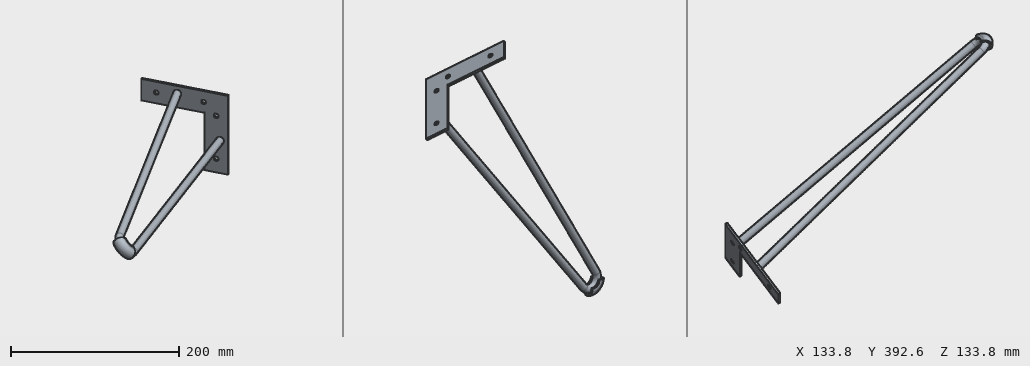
import cadquery as cq
import math

plate_length = 110.0
plate_width = 30.0
plate_thickness = 3.0
hole_diameter = 6.0
hole_near = 31.0
hole_spacing = 60.0

rod_diameter = 10.0
weld_far = 64.25
weld_near = 10.0
bend_radius = 12.25
bend_center_offset = 8.81
overall_depth = 392.64

foot_thickness = 15.5
foot_outer_radius = 21.25
foot_inner_radius = 10.0
foot_half_angle = 45.0

weld_middle = -(weld_far + weld_near) / 2
half_spread = (weld_far - weld_near) / math.sqrt(2)
foot_round = foot_thickness / 2
foot_round_center = foot_outer_radius - foot_round

rise = (bend_center_offset - weld_middle) * math.sqrt(2)
round_center_depth = overall_depth - plate_thickness - foot_round
lean = math.atan2(rise, round_center_depth - foot_round_center)
run = round_center_depth - foot_round_center * math.cos(lean)
center_distance = math.hypot(rise, run)

across = cq.Vector(1, 0, -1).normalized()
along = cq.Vector(rise / math.sqrt(2), -run, rise / math.sqrt(2)).normalized()
hairpin_plane = cq.Plane(
    origin=(weld_middle, -plate_thickness, weld_middle),
    xDir=across,
    normal=across.cross(along),
)


def make_plate():
    plate = (
        cq.Workplane("XZ")
        .polyline([
            (0, 0),
            (-plate_length, 0),
            (-plate_length, -plate_width),
            (-plate_width, -plate_width),
            (-plate_width, -plate_length),
            (0, -plate_length),
        ])
        .close()
        .extrude(plate_thickness)
    )
    distances = [hole_near, hole_near + hole_spacing]
    middle = plate_width / 2
    points = [(-d, -middle) for d in distances] + [(-middle, -d) for d in distances]
    holes = cq.Workplane("XZ").pushPoints(points).circle(hole_diameter / 2).extrude(plate_thickness)
    return plate.cut(holes)


def bend_point(angle):
    """Point on the bend, `angle` radians from its tip."""
    return (bend_radius * math.sin(angle), center_distance + bend_radius * math.cos(angle))


def make_rod():
    weld_distance = math.hypot(half_spread, center_distance)
    weld_angle = math.pi - math.atan2(half_spread, center_distance)
    tangent_x, tangent_y = bend_point(weld_angle - math.acos(bend_radius / weld_distance))
    overrun = rod_diameter
    start_x = half_spread + overrun * (half_spread - tangent_x) / tangent_y
    path = (
        cq.Workplane(hairpin_plane)
        .moveTo(-start_x, -overrun)
        .lineTo(-tangent_x, tangent_y)
        .threePointArc(bend_point(0), (tangent_x, tangent_y))
        .lineTo(start_x, -overrun)
        .wire()
        .val()
    )
    section_plane = cq.Plane(origin=path.startPoint(), normal=path.tangentAt(0))
    rod = cq.Workplane(section_plane).circle(rod_diameter / 2).sweep(path)
    trim_size = 4 * plate_length
    front_face = cq.Workplane("XZ", origin=(0, -plate_thickness, 0))
    return rod.intersect(front_face.rect(trim_size, trim_size).extrude(overall_depth))


def make_foot_ring(thickness):
    """Sector about the bend axis, flat on both sides and fully rounded on the outside."""
    half_thickness = thickness / 2
    inner = center_distance + foot_inner_radius
    round_center = center_distance + foot_round_center
    section_plane = cq.Plane(origin=hairpin_plane.origin, xDir=along, normal=across)
    section = (
        cq.Workplane(section_plane)
        .moveTo(inner, -half_thickness)
        .lineTo(round_center, -half_thickness)
        .threePointArc((round_center + half_thickness, 0), (round_center, half_thickness))
        .lineTo(inner, half_thickness)
        .close()
    )
    ring = section.revolve(2 * foot_half_angle, (center_distance, 0), (center_distance, 1))
    center = hairpin_plane.toWorldCoords((0, center_distance))
    return ring.rotate(center, center + hairpin_plane.zDir, -foot_half_angle)


def make_foot(rod):
    channel = make_foot_ring(rod_diameter)
    return make_foot_ring(foot_thickness).cut(channel).cut(rod)


plate = make_plate()
rod = make_rod()
foot = make_foot(rod)
result = cq.Compound.makeCompound([plate.val(), rod.val(), foot.val()])